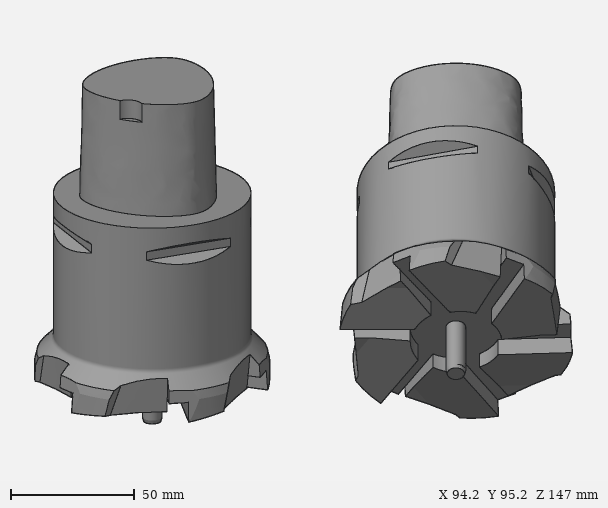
import cadquery as cq
import math

BODY_RADIUS = 40.0
NECK_Z = -61.2
NECK_FILLET = 2.5
SHOULDER_RADIUS = 46.7
TOOTH_RADIUS = 47.6
TOOTH_FLANK_Z = -72.8
HEAD_BOTTOM_Z = -79.4
TOOTH_BOTTOM_Z = -82.15

SHANK_LENGTH = 48.0
SHANK_DIAMETER = 55.4
SHANK_LOBE = 1.9
SHANK_TAPER = 1 / 20
SHANK_POINTS = 48
NOTCH_RADIUS = 6.0
NOTCH_CENTER_Y = -28.1
NOTCH_DEPTH = 8.0

GROOVE_ANGLES = (45, 135, 225, 315)
GROOVE_Z = -12.1
GROOVE_FLOOR = 35.4
GROOVE_FLOOR_HEIGHT = 3.6
GROOVE_FLANK_ANGLE = 30.0

TOOTH_ANGLES = (0, 60, 117, 176, 237.5, 299)
SLOT_WIDTH = 8.0
SLOT_TOP_Z = -73.8
FOOT_LENGTH = 22.0
GULLET_Z = -66.0
GULLET_LENGTH = 17.4
GULLET_WALL_SLOPE = 0.317
GULLET_FLOOR_SLOPE = 0.09
GULLET_FLOOR_START = 42.1
GULLET_FLOOR_END = 40.8
GULLET_RUNOUT_RISE = 2.7
GULLET_RUNOUT_LENGTH = 7.6
CLEARANCE_RADIUS = 46.2
CLEARANCE_Z = -68.4
CLEARANCE_TILT = 4.6
CLEARANCE_TURN = 3.0

BORE_DIAMETER = 37.0
BORE_TOP_Z = SLOT_TOP_Z
PIN_DIAMETER = 8.01
PIN_BOTTOM_Z = -99.0
PIN_CHAMFER_LENGTH = 1.6
PIN_CHAMFER_WIDTH = 0.5

REACH = 60.0


def turned(shape, angle):
    """The shape turned about the axis of the part."""
    return shape.rotate((0, 0, 0), (0, 0, 1), angle)


def body():
    """Straight body, filleted neck, 45 degree shoulder and tooth rim."""
    arc_mid = math.radians(22.5)
    arc_end = math.radians(45)

    def on_fillet(angle):
        return (
            BODY_RADIUS + NECK_FILLET * (1 - math.cos(angle)),
            NECK_Z - NECK_FILLET * math.sin(angle),
        )

    shoulder_start = on_fillet(arc_end)
    shoulder_z = shoulder_start[1] - (SHOULDER_RADIUS - shoulder_start[0])
    return (
        cq.Workplane("XZ")
        .moveTo(0, 0)
        .lineTo(BODY_RADIUS, 0)
        .lineTo(BODY_RADIUS, NECK_Z)
        .threePointArc(on_fillet(arc_mid), shoulder_start)
        .lineTo(SHOULDER_RADIUS, shoulder_z)
        .lineTo(TOOTH_RADIUS, TOOTH_FLANK_Z)
        .lineTo(TOOTH_RADIUS, TOOTH_BOTTOM_Z)
        .lineTo(0, TOOTH_BOTTOM_Z)
        .close()
        .revolve(360, (0, 0, 0), (0, 1, 0))
    )


def shank_outline(diameter):
    """Points of a three-lobed curve of constant width, one lobe toward +Y."""
    points = []
    for i in range(SHANK_POINTS):
        angle = 2 * math.pi * i / SHANK_POINTS
        lobe_angle = 3 * (angle - math.pi / 2)
        reach = diameter / 2 + SHANK_LOBE * math.cos(lobe_angle)
        slope = -3 * SHANK_LOBE * math.sin(lobe_angle)
        points.append((
            reach * math.cos(angle) - slope * math.sin(angle),
            reach * math.sin(angle) + slope * math.cos(angle),
        ))
    return points


def shank():
    """Tapered polygon shank with a round notch in the -Y side of its end."""
    end_diameter = SHANK_DIAMETER - SHANK_TAPER * SHANK_LENGTH
    taper = (
        cq.Workplane("XY")
        .spline(shank_outline(SHANK_DIAMETER), periodic=True)
        .close()
        .workplane(offset=SHANK_LENGTH)
        .spline(shank_outline(end_diameter), periodic=True)
        .close()
        .loft(ruled=True)
    )
    notch = (
        cq.Workplane("XY", origin=(0, NOTCH_CENTER_Y, SHANK_LENGTH - NOTCH_DEPTH))
        .circle(NOTCH_RADIUS)
        .extrude(NOTCH_DEPTH)
    )
    return taper.cut(notch)


def gripper_groove():
    """Straight groove with a flat floor and flared flanks."""
    floor_half = GROOVE_FLOOR_HEIGHT / 2
    flare = (REACH - GROOVE_FLOOR) * math.tan(math.radians(GROOVE_FLANK_ANGLE))
    return (
        cq.Workplane("XZ")
        .moveTo(GROOVE_FLOOR, GROOVE_Z - floor_half)
        .lineTo(REACH, GROOVE_Z - floor_half - flare)
        .lineTo(REACH, GROOVE_Z + floor_half + flare)
        .lineTo(GROOVE_FLOOR, GROOVE_Z + floor_half)
        .close()
        .extrude(BODY_RADIUS, both=True)
    )




def tooth_foot():
    """Ramp under a tooth, deepest just behind the slot."""
    return (
        cq.Workplane("YZ")
        .moveTo(0, HEAD_BOTTOM_Z)
        .lineTo(0, TOOTH_BOTTOM_Z)
        .lineTo(SLOT_WIDTH, TOOTH_BOTTOM_Z)
        .lineTo(SLOT_WIDTH + FOOT_LENGTH, HEAD_BOTTOM_Z)
        .close()
        .extrude(REACH)
    )


def bottom_relief():
    """Slab under the head that leaves only the ramps of the teeth standing."""
    relief = (
        cq.Workplane("XY", origin=(0, 0, TOOTH_BOTTOM_Z))
        .circle(REACH)
        .extrude(HEAD_BOTTOM_Z - TOOTH_BOTTOM_Z)
    )
    for angle in TOOTH_ANGLES:
        relief = relief.cut(turned(tooth_foot(), angle))
    return relief


def insert_slot():
    """Radial slot, open at the bottom, from the bore through the tooth."""
    height = SLOT_TOP_Z - TOOTH_BOTTOM_Z
    return cq.Workplane("XY", origin=(0, 0, TOOTH_BOTTOM_Z)).box(
        REACH, SLOT_WIDTH, height, centered=False
    )


def gullet_outline(z, length):
    """Plan of the gullet at one height; floor and far wall lean as it goes down."""
    drop = GULLET_Z - z
    floor_shift = -GULLET_FLOOR_SLOPE * drop
    floor_end = -length - GULLET_WALL_SLOPE * drop
    runout = floor_end - GULLET_RUNOUT_LENGTH
    return [
        (GULLET_FLOOR_START + floor_shift, 0),
        (GULLET_FLOOR_END + floor_shift, floor_end),
        (GULLET_FLOOR_END + floor_shift + GULLET_RUNOUT_RISE, runout),
        (REACH, runout),
        (REACH, 0),
    ]


def gullet(pitch):
    """Chip space in front of a tooth, longer where the tooth ahead is farther away."""
    even_pitch = 360 / len(TOOTH_ANGLES)
    length = GULLET_LENGTH + GULLET_FLOOR_START * math.radians(pitch - even_pitch)
    return (
        cq.Workplane("XY", origin=(0, 0, TOOTH_BOTTOM_Z))
        .polyline(gullet_outline(TOOTH_BOTTOM_Z, length))
        .close()
        .workplane(offset=NECK_Z - TOOTH_BOTTOM_Z)
        .polyline(gullet_outline(NECK_Z, length))
        .close()
        .loft(ruled=True)
    )


def clearance_flat():
    """Block whose inner side cuts the tilted flat behind a tooth face."""
    size = REACH / 2
    return (
        cq.Workplane("XY")
        .box(size, size, size, centered=(False, True, True))
        .rotate((0, 0, 0), (0, 1, 0), -CLEARANCE_TILT)
        .rotate((0, 0, 0), (0, 0, 1), CLEARANCE_TURN)
        .translate((CLEARANCE_RADIUS, 0, CLEARANCE_Z))
    )


def bore():
    depth = BORE_TOP_Z - TOOTH_BOTTOM_Z
    return cq.Workplane("XY", origin=(0, 0, TOOTH_BOTTOM_Z)).circle(BORE_DIAMETER / 2).extrude(depth)


def pin():
    """Central pin with a slim chamfer at its lower end."""
    radius = PIN_DIAMETER / 2
    return (
        cq.Workplane("XZ")
        .moveTo(0, BORE_TOP_Z)
        .lineTo(radius, BORE_TOP_Z)
        .lineTo(radius, PIN_BOTTOM_Z + PIN_CHAMFER_LENGTH)
        .lineTo(radius - PIN_CHAMFER_WIDTH, PIN_BOTTOM_Z)
        .lineTo(0, PIN_BOTTOM_Z)
        .close()
        .revolve(360, (0, 0, 0), (0, 1, 0))
    )


result = body().union(shank())
for groove_angle in GROOVE_ANGLES:
    result = result.cut(turned(gripper_groove(), groove_angle))
result = result.cut(bottom_relief())
for i, tooth_angle in enumerate(TOOTH_ANGLES):
    pitch = (tooth_angle - TOOTH_ANGLES[i - 1]) % 360
    for cutter in (gullet(pitch), clearance_flat(), insert_slot()):
        result = result.cut(turned(cutter, tooth_angle), clean=False)
result = result.cut(bore(), clean=False).union(pin(), clean=False)